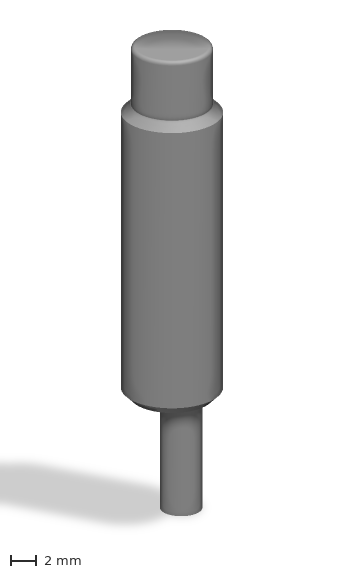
import cadquery as cq

total_length = 40.0
cable_length = 10.0
head_length = 5.0
body_length = total_length - cable_length - head_length

body_diameter = 8.0
head_diameter = 6.4
cable_diameter = 3.3

body_chamfer = 0.7
head_rounding = 0.3
cable_offset_y = 1.2


def make_body():
    """Main barrel, chamfered at both ends."""
    barrel = cq.Workplane("XY").workplane(offset=cable_length)
    barrel = barrel.circle(body_diameter / 2).extrude(body_length)
    return barrel.faces("<Z or >Z").chamfer(body_chamfer)


def make_head():
    """Narrower head on top of the barrel, with a rounded rim."""
    head = cq.Workplane("XY").workplane(offset=cable_length + body_length)
    head = head.circle(head_diameter / 2).extrude(head_length)
    return head.faces(">Z").edges().fillet(head_rounding)


def make_cable():
    """Off-centre cable leaving the bottom of the barrel."""
    cable = cq.Workplane("XY").center(0, cable_offset_y)
    return cable.circle(cable_diameter / 2).extrude(cable_length)


result = make_body().union(make_head()).union(make_cable())